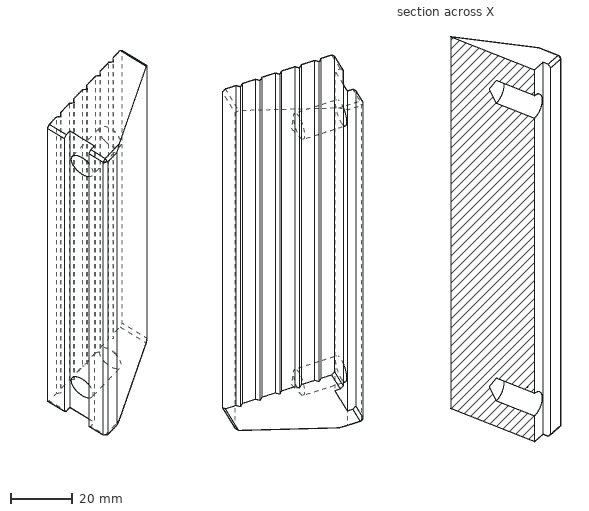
import cadquery as cq
import math

width = 24.0
depth = 40.0
height = 150.0

back_width = 10.4
side_depth = 6.0
edge_chamfer = 1.0

slot_width = 10.0
slot_depth = 3.0
slot_center_x = width / 2

groove_count = 5
groove_span = 28.0
groove_pitch = groove_span / (groove_count - 1)
groove_width = 2.2
groove_depth = 1.12

hole_diameter = 9.0
hole_depth = 15.0
hole_end_distance = 15.0
drill_point_angle = 118.0


def make_body():
    """Extrude the wedge outline and chamfer its front, back and +X edges."""
    outline = [
        (0, 0),
        (width, 0),
        (width, side_depth),
        (back_width, depth),
        (0, depth),
    ]
    body = cq.Workplane("XY").polyline(outline).close().extrude(height)
    end_edges = body.faces("<Y or >Y or >X").edges("<Z or >Z")
    front_corner = body.faces("<Y").edges(">X")
    return body.newObject(end_edges.vals() + front_corner.vals()).chamfer(edge_chamfer)


def make_slot():
    """Rectangular channel running the full height of the front face."""
    left = slot_center_x - slot_width / 2
    return cq.Workplane("XY").box(slot_width, slot_depth, height, centered=False).translate((left, 0, 0))


def make_groove(center_y):
    """Triangular prism for one full-height groove."""
    half_width = groove_width / 2
    section = [
        (0, center_y - half_width),
        (groove_depth, center_y),
        (0, center_y + half_width),
    ]
    return cq.Workplane("XY").polyline(section).close().extrude(height)


def make_hole(center_z):
    """Drilled hole with a conical bottom, starting at the slot floor."""
    radius = hole_diameter / 2
    point_depth = radius / math.tan(math.radians(drill_point_angle / 2))
    wall_end = slot_depth + hole_depth
    section = [
        (0, slot_depth),
        (radius, slot_depth),
        (radius, wall_end),
        (0, wall_end + point_depth),
    ]
    hole = cq.Workplane("XY").polyline(section).close().revolve(360, (0, 0), (0, 1))
    return hole.translate((slot_center_x, 0, center_z))


result = make_body().cut(make_slot())

for index in range(groove_count):
    offset = index * groove_pitch - groove_span / 2
    result = result.cut(make_groove(depth / 2 + offset))

for hole_z in (hole_end_distance, height - hole_end_distance):
    result = result.cut(make_hole(hole_z))